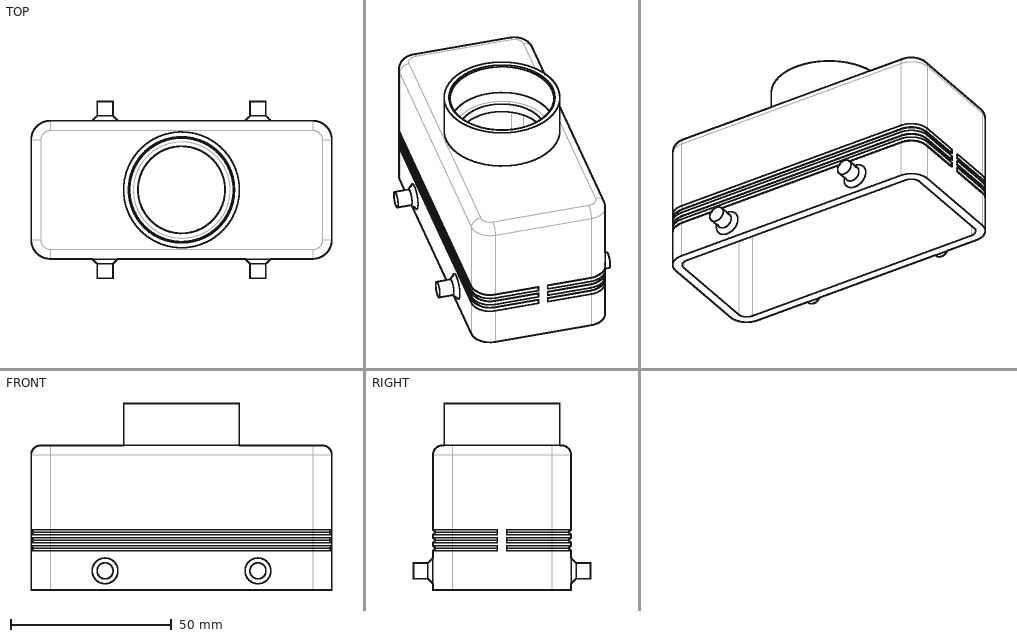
import cadquery as cq
import math

BODY_LENGTH = 93.5
BODY_WIDTH = 43.0
BODY_HEIGHT = 45.0
CORNER_RADIUS = 6.0
TOP_FILLET = 3.0
WALL = 3.0

TOTAL_HEIGHT = 58.0
NECK_DIAMETER = 36.0
BORE_DIAMETER = 32.2
BORE_MOUTH_CHAMFER = 0.4
ENTRY_DIAMETER = 27.0
RELIEF_RADIUS = 1.5
RELIEF_CENTER_RADIUS = 15.0

GROOVE_COUNT = 3
GROOVE_PITCH = 2.5
GROOVE_WIDTH = 1.45
GROOVE_FLOOR = 0.1
GROOVE_DEPTH = 0.8
LOWEST_GROOVE_Z = 13.0
GROOVE_GAP = 3.0

PIN_SPAN = 55.0
PIN_SPACING = 47.5
PIN_Z = 6.0
PIN_DIAMETER = 5.0
PIN_BASE_DIAMETER = 8.0
PIN_CONE_LENGTH = (PIN_BASE_DIAMETER - PIN_DIAMETER) / 2
PIN_ROOT = WALL / 2


def rounded_block(inset, height):
    """Upright block with rounded corners, offset inward from the body outline."""
    return (
        cq.Workplane("XY")
        .rect(BODY_LENGTH - 2 * inset, BODY_WIDTH - 2 * inset)
        .extrude(height)
        .edges("|Z")
        .fillet(CORNER_RADIUS - inset)
    )


def make_shell():
    """Body open at the bottom, with a rounded top rim."""
    outside = rounded_block(0, BODY_HEIGHT).faces(">Z").edges().fillet(TOP_FILLET)
    return outside.cut(rounded_block(WALL, BODY_HEIGHT - WALL))


def make_groove(center_z):
    """Tapered groove following the outline, interrupted at the middle of both ends."""
    profile = (
        cq.Workplane("YZ", origin=(0, -BODY_WIDTH / 2, center_z))
        .moveTo(0, -GROOVE_WIDTH / 2)
        .lineTo(GROOVE_DEPTH, -GROOVE_FLOOR / 2)
        .lineTo(GROOVE_DEPTH, GROOVE_FLOOR / 2)
        .lineTo(0, GROOVE_WIDTH / 2)
        .close()
    )
    block_above = rounded_block(0, BODY_HEIGHT - center_z).translate((0, 0, center_z))
    outline = block_above.faces("<Z").wires()
    groove = profile.sweep(outline)
    gap = cq.Workplane("XY").box(2 * BODY_LENGTH, GROOVE_GAP, 2 * BODY_HEIGHT)
    return groove.cut(gap)


def make_neck():
    """Solid neck standing on the roof."""
    return (
        cq.Workplane("XY", origin=(0, 0, BODY_HEIGHT))
        .circle(NECK_DIAMETER / 2)
        .extrude(TOTAL_HEIGHT - BODY_HEIGHT)
    )


def make_neck_opening():
    """Entry hole and neck bore, with a rounded relief undercutting the bore above the ledge."""
    entry_radius = ENTRY_DIAMETER / 2
    bore_radius = BORE_DIAMETER / 2
    relief_center_z = BODY_HEIGHT + RELIEF_RADIUS
    relief_rise = math.sqrt(RELIEF_RADIUS**2 - (bore_radius - RELIEF_CENTER_RADIUS) ** 2)
    profile = (
        cq.Workplane("XZ")
        .moveTo(0, BODY_HEIGHT - WALL)
        .lineTo(entry_radius, BODY_HEIGHT - WALL)
        .lineTo(entry_radius, BODY_HEIGHT)
        .lineTo(RELIEF_CENTER_RADIUS, BODY_HEIGHT)
        .threePointArc(
            (RELIEF_CENTER_RADIUS + RELIEF_RADIUS, relief_center_z),
            (bore_radius, relief_center_z + relief_rise),
        )
        .lineTo(bore_radius, TOTAL_HEIGHT - BORE_MOUTH_CHAMFER)
        .lineTo(bore_radius + BORE_MOUTH_CHAMFER, TOTAL_HEIGHT)
        .lineTo(0, TOTAL_HEIGHT)
        .close()
    )
    return profile.revolve(360, (0, 0, 0), (0, 1, 0))


def make_pin(x, side):
    """Pin with a conical base; side is -1 or +1 for the -Y or +Y wall."""
    wall_y = BODY_WIDTH / 2
    cone_end_y = wall_y + PIN_CONE_LENGTH
    profile = [
        (0, wall_y - PIN_ROOT),
        (PIN_BASE_DIAMETER / 2, wall_y - PIN_ROOT),
        (PIN_BASE_DIAMETER / 2, wall_y),
        (PIN_DIAMETER / 2, cone_end_y),
        (PIN_DIAMETER / 2, PIN_SPAN / 2),
        (0, PIN_SPAN / 2),
    ]
    pin = cq.Workplane("XY").polyline(profile).close().revolve(360, (0, 0, 0), (0, 1, 0))
    if side < 0:
        pin = pin.mirror("XZ")
    return pin.translate((x, 0, PIN_Z))


result = make_shell().union(make_neck()).cut(make_neck_opening())

for index in range(GROOVE_COUNT):
    result = result.cut(make_groove(LOWEST_GROOVE_Z + index * GROOVE_PITCH))

for pin_x in (-PIN_SPACING / 2, PIN_SPACING / 2):
    for pin_side in (-1, 1):
        result = result.union(make_pin(pin_x, pin_side))